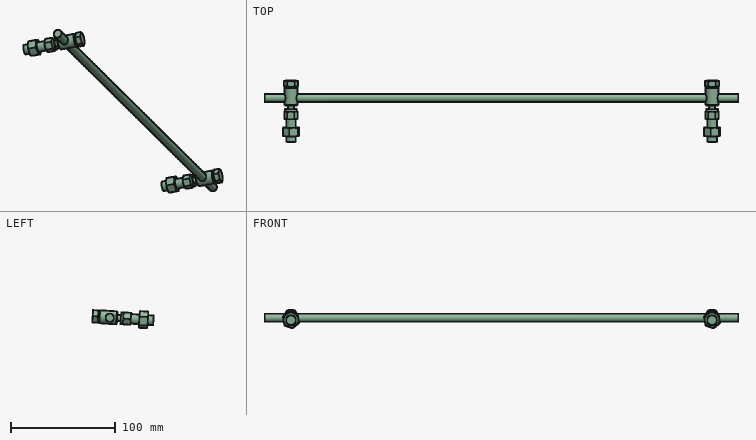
import cadquery as cq
import math

ROD_LENGTH = 454.02
ROD_DIAMETER = 8.0
ROD_Y = 12.7
ROD_Z = 1.35

FASTENER_SPACING = 403.4
FASTENER_TILT = 3.9
FASTENER_LENGTH = 58.62
FASTENER_BACK_Z = 2.85
OVERALL_BACK_Y = 29.615

HEAD_END = 5.4
BODY_START = 7.0
BODY_END = 23.8
COLLAR_START = 27.2
COLLAR_END = 29.4
HEX_END = 36.8
NUT_START = 44.8
NUT_END = 53.2

HEAD_FLATS = 12.0
HEAD_NECK_DIAMETER = 10.0
BODY_DIAMETER = 12.7
BODY_CHAMFER = 1.0
BALL_NECK_DIAMETER = 6.0
COLLAR_DIAMETER = 11.5
HEX_FLATS = 11.5
HEX_ROTATION = 2.5
STUD_DIAMETER = 9.525
NUT_FLATS = 14.3
NUT_ROTATION = 40.0
CHAMFER_ANGLE = 30.0


def cylinder(start, end, diameter):
    """Cylinder on the -Y axis between two stations."""
    return cq.Workplane("XZ", origin=(0, -start, 0)).circle(diameter / 2).extrude(end - start)


def hexagon(start, end, flats, rotation=0.0):
    """Hexagonal prism on the -Y axis with its corners turned down to the flats at both ends."""
    corner_radius = flats / math.sqrt(3)
    flat_radius = flats / 2
    drop = (corner_radius - flat_radius) * math.tan(math.radians(CHAMFER_ANGLE))
    prism = cq.Workplane("XZ", origin=(0, -start, 0)).polygon(6, 2 * corner_radius).extrude(end - start)
    turned = (
        cq.Workplane("XY")
        .moveTo(0, -start)
        .lineTo(flat_radius, -start)
        .lineTo(corner_radius, -start - drop)
        .lineTo(corner_radius, -end + drop)
        .lineTo(flat_radius, -end)
        .lineTo(0, -end)
        .close()
        .revolve(360, (0, 0, 0), (0, 1, 0))
    )
    return prism.intersect(turned).rotate((0, 0, 0), (0, 1, 0), -rotation)


def make_fastener():
    """Bolt head, clamp body, neck, hexagonal collar, stud and nut in line along -Y."""
    body = cylinder(BODY_START, BODY_END, BODY_DIAMETER).faces("<Y").chamfer(BODY_CHAMFER)
    return (
        hexagon(0, HEAD_END, HEAD_FLATS)
        .union(cylinder(HEAD_END, BODY_START, HEAD_NECK_DIAMETER))
        .union(body)
        .union(cylinder(BODY_END, COLLAR_START, BALL_NECK_DIAMETER))
        .union(cylinder(COLLAR_START, COLLAR_END, COLLAR_DIAMETER))
        .union(hexagon(COLLAR_END, HEX_END, HEX_FLATS, HEX_ROTATION))
        .union(cylinder(HEX_END, FASTENER_LENGTH, STUD_DIAMETER))
        .union(hexagon(NUT_START, NUT_END, NUT_FLATS, NUT_ROTATION))
    )


def make_rod():
    return (
        cq.Workplane("YZ", origin=(-ROD_LENGTH / 2, ROD_Y, ROD_Z))
        .circle(ROD_DIAMETER / 2)
        .extrude(ROD_LENGTH)
    )


back_edge_overhang = HEAD_FLATS / 2 * math.sin(math.radians(FASTENER_TILT))
fastener_back_y = OVERALL_BACK_Y - back_edge_overhang
fastener = make_fastener().rotate((0, 0, 0), (1, 0, 0), FASTENER_TILT)

result = make_rod()
for side in (-1, 1):
    placed = fastener.translate((side * FASTENER_SPACING / 2, fastener_back_y, FASTENER_BACK_Z))
    result = result.union(placed)